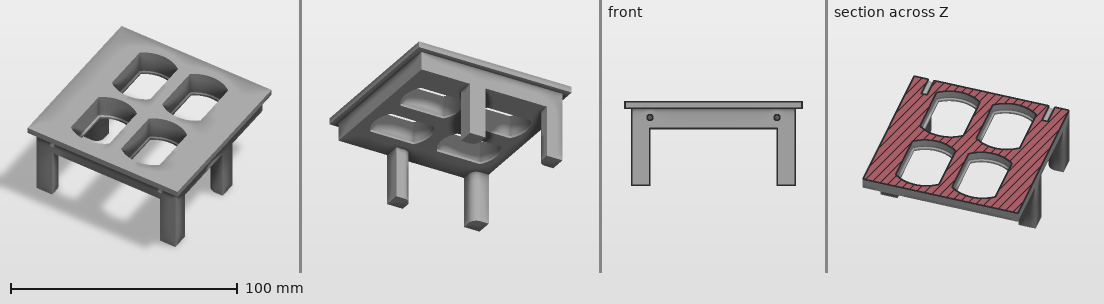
import cadquery as cq
import math

top_side = 78.0
height = 37.0
top_thickness = 3.0
overhang = 3.0
block_thickness = 9.0
block_side = top_side - 2 * overhang
block_top = height - top_thickness
block_bottom = block_top - block_thickness

leg_side = 8.0
leg_inner_radius = 4.0
leg_gap_y = 31.2

pocket_width = 20.0
pocket_length = 30.0
pocket_end_radius = 16.0
pocket_spacing_x = 26.1
pocket_spacing_y = 34.0
lip_width = 1.0
lip_thickness = 1.0

hole_diameter = 2.5
hole_depth = 10.0
hole_below_top = 7.0
hole_x = block_side / 2 - leg_side


def leg(side, y_center, inner_edge):
    """Leg on the left (-1) or right (+1) side, rounded at its inward-facing corner."""
    x_center = side * (block_side - leg_side) / 2
    post = cq.Workplane("XY").box(leg_side, leg_side, block_bottom, centered=(True, True, False))
    inner_x = "<X" if side > 0 else ">X"
    post = post.faces(inner_x).edges("|Z").edges(inner_edge).fillet(leg_inner_radius)
    return post.translate((x_center, y_center, 0))


def bowed_opening(x, y, inset, bottom):
    """Cutter with straight long sides and arced ends, running up to the table top."""
    half_width = pocket_width / 2 - inset
    half_length = pocket_length / 2 - inset
    radius = pocket_end_radius - inset
    corner_y = half_length - radius + math.sqrt(radius**2 - half_width**2)
    return (
        cq.Workplane("XY", origin=(x, y, bottom))
        .moveTo(-half_width, -corner_y)
        .threePointArc((0, -half_length), (half_width, -corner_y))
        .lineTo(half_width, corner_y)
        .threePointArc((0, half_length), (-half_width, corner_y))
        .close()
        .extrude(height - bottom)
    )


result = cq.Workplane("XY", origin=(0, 0, block_top)).rect(top_side, top_side).extrude(top_thickness)
block = cq.Workplane("XY", origin=(0, 0, block_bottom)).rect(block_side, block_side).extrude(block_thickness)
result = result.union(block)

front_leg_y = (leg_side - block_side) / 2
rear_leg_y = front_leg_y + leg_side + leg_gap_y
for side in (-1, 1):
    result = result.union(leg(side, front_leg_y, ">Y"))
    result = result.union(leg(side, rear_leg_y, "<Y"))

for x in (-pocket_spacing_x / 2, pocket_spacing_x / 2):
    for y in (-pocket_spacing_y / 2, pocket_spacing_y / 2):
        result = result.cut(bowed_opening(x, y, 0, block_bottom + lip_thickness))
        result = result.cut(bowed_opening(x, y, lip_width, block_bottom))

for x in (-hole_x, hole_x):
    start = cq.Vector(x, -block_side / 2, height - hole_below_top)
    drill = cq.Solid.makeCylinder(hole_diameter / 2, hole_depth, start, cq.Vector(0, 1, 0))
    result = result.cut(cq.Workplane(drill))